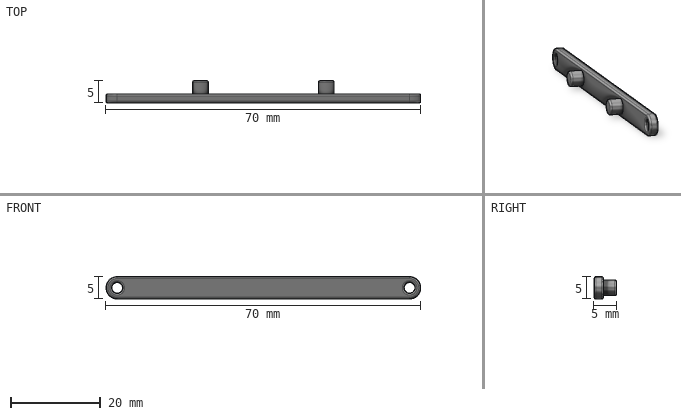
import cadquery as cq

length = 70.0
width = 5.0
thickness = 2.0
edge_radius = 0.4

hole_diameter = 2.4
hole_spacing = length - width

peg_diameter = 3.5
peg_spacing = 28.0
overall_depth = 5.0
peg_length = overall_depth - thickness


def pair(spacing):
    """Two points along X, symmetric about the middle of the bar."""
    return [(-spacing / 2, 0), (spacing / 2, 0)]


def make_bar():
    """Bar with its front face at Y = 0, its two holes, and rounded edges on both faces."""
    bar = cq.Workplane("XZ").slot2D(length, width).extrude(-thickness)
    holes = (
        cq.Workplane("XZ")
        .pushPoints(pair(hole_spacing))
        .circle(hole_diameter / 2)
        .extrude(-thickness)
    )
    return bar.cut(holes).faces("<Y or >Y").edges().fillet(edge_radius)


def make_pegs():
    """Pegs standing on the back face, with rounded tips."""
    pegs = (
        cq.Workplane("XZ", origin=(0, thickness, 0))
        .pushPoints(pair(peg_spacing))
        .circle(peg_diameter / 2)
        .extrude(-peg_length)
    )
    return pegs.faces(">Y").edges().fillet(edge_radius)


result = make_bar().union(make_pegs())